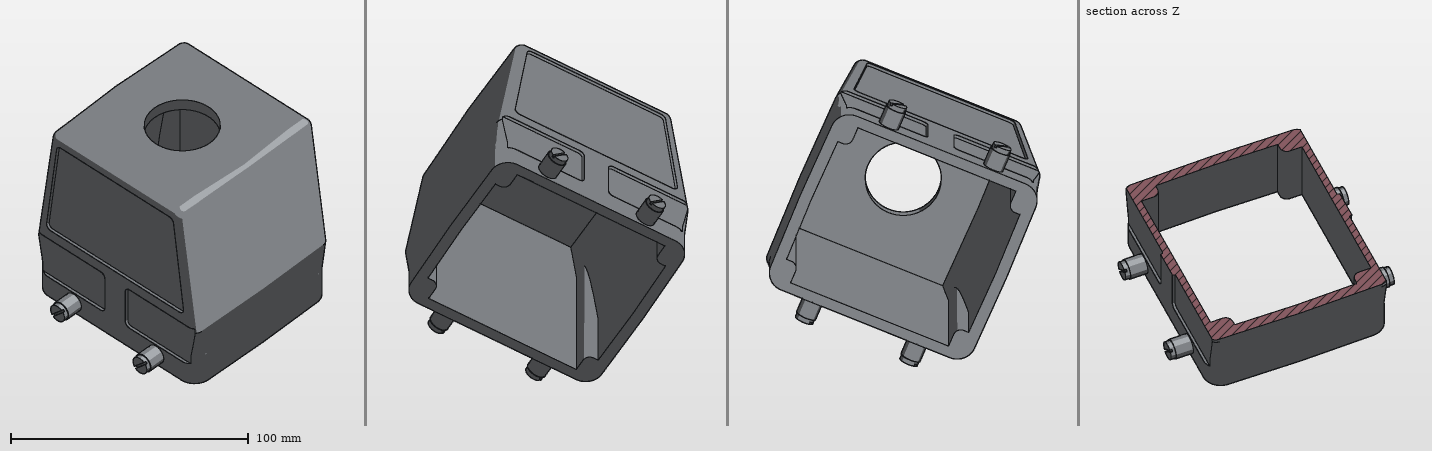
import cadquery as cq
import math

height = 93.5
half_depth = 41.25
half_width = 47.0
corner_setback = 0.65
shoulder_z = 30.0
blend_z = 15.0
side_lean = math.radians(7.9)
base_corner_radius = 8.0
edge_radius = 4.0

flat_half_length = 28.7
strip_fall = math.radians(1.0)
ridge_edge_radius = 2.6

side_wall = 5.0
end_wall = 4.5
roof = 5.5
cable_hole_diameter = 32.0
post_face_x = 36.0
post_depth = 8.8
post_corner_radius = 3.3

recess_depth = 1.2
recess_wall_depth = 1.1
recess_wall_run = 0.4
recess_corner_radius = 2.5
label_bottom_z = 37.8
label_top_z = 88.2
label_half_width_bottom = 39.9
label_half_width_top = 33.5
lower_recess_bottom_z = 10.8
lower_recess_top_z = 32.5
lower_recess_inner_x = 5.9
lower_recess_outer_x = half_width + edge_radius

pin_x = 23.8
pin_z = 5.8
pin_diameter = 8.8
pin_tip_diameter = 8.0
pin_tip_length = 2.2
pin_end_y = 51.25
slot_width = 1.0
slot_depth = 1.0
slot_angle = 45.0

small = 0.01


def width_at(z):
    """Half width of the hood at its side ridge."""
    return half_width - max(0.0, z - shoulder_z) * math.tan(side_lean)


def hood_points(z, inset_x=0.0, inset_y=0.0):
    """Six-sided outline with its side ridges above the X axis."""
    x_mid = width_at(z) - inset_x
    x_corner = x_mid - corner_setback
    y_end = half_depth - inset_y
    outline = [
        (x_mid, 0),
        (x_corner, y_end),
        (-x_corner, y_end),
        (-x_mid, 0),
        (-x_corner, -y_end),
        (x_corner, -y_end),
    ]
    return [cq.Vector(x, y, z) for x, y in outline]


def rounded_outline(z, radius):
    wire = cq.Wire.makePolygon(hood_points(z), close=True)
    corners = [vertex for vertex in wire.Vertices() if abs(vertex.Y) > half_depth / 2]
    return wire.fillet2D(radius, corners)


def flat_face(points):
    """Flat polygon face."""
    return cq.Face.makeFromWires(cq.Wire.makePolygon(points, close=True))


def solid_from_faces(faces):
    return cq.Workplane(obj=cq.Solid.makeSolid(cq.Shell.makeShell(faces)))


def flat_sided_solid(lower, upper):
    """Solid between two outlines with flat faces joining their matching sides."""
    faces = [flat_face(lower), flat_face(upper)]
    for i in range(len(lower)):
        faces.append(flat_face([lower[i - 1], lower[i], upper[i], upper[i - 1]]))
    return solid_from_faces(faces)


def ruled_solid(lower, upper):
    return cq.Workplane(obj=cq.Solid.makeLoft([lower, upper], True))


def turned_to_back(shape):
    return shape.rotate((0, 0, 0), (0, 0, 1), 180)


def falling_strip_cutter():
    """Wedge above the falling strip at the back of the top."""
    strip_length = half_depth - flat_half_length
    return (
        cq.Workplane("YZ", origin=(-half_width, 0, 0))
        .moveTo(flat_half_length, height)
        .line(strip_length, 0)
        .line(0, -strip_length * math.tan(strip_fall))
        .close()
        .extrude(2 * half_width)
    )


def outer_edges(upper):
    """Corner edges and top rim of the upper body, without the fold lines across its faces."""
    chosen = []
    for edge in upper.edges().vals():
        box = edge.BoundingBox()
        on_end = abs(edge.Center().y) > half_depth - small
        on_side_rim = box.ylen > small and box.zmin > shoulder_z + small
        if edge.Center().z > shoulder_z + small and (on_end or on_side_rim):
            chosen.append(edge)
    return chosen


def outer_body():
    """Solid hood with all its outer edges rounded evenly."""
    base = rounded_outline(0, base_corner_radius)
    blend = rounded_outline(blend_z, base_corner_radius)
    shoulder = rounded_outline(shoulder_z, edge_radius)
    lower = ruled_solid(base, blend).union(ruled_solid(blend, shoulder))

    upper = flat_sided_solid(hood_points(shoulder_z), hood_points(height))
    strip = falling_strip_cutter()
    upper = upper.cut(strip).cut(turned_to_back(strip))
    return lower.union(upper.newObject(outer_edges(upper)).fillet(edge_radius))


def point_on_edge_rounding(y, radius, angle):
    """Point on the rounding of the +X top edge, at an angle above the X direction."""
    corner_x = width_at(height) - corner_setback * abs(y) / half_depth
    center_x = corner_x - radius * math.tan((math.pi / 2 - side_lean) / 2)
    center_z = height - radius
    return cq.Vector(center_x + radius * math.cos(angle), y, center_z + radius * math.sin(angle))


def edge_arc(y, radius):
    """Rounding arc of the +X top edge, from the side face up to the top."""
    angles = (side_lean, (side_lean + math.pi / 2) / 2, math.pi / 2)
    return cq.Edge.makeThreePointArc(*[point_on_edge_rounding(y, radius, angle) for angle in angles])


def face_with_arc(arc, points):
    """Flat face bounded by an arc and by straight lines through the points, from its end to its start."""
    path = [arc.endPoint()] + points + [arc.startPoint()]
    lines = [cq.Edge.makeLine(path[i], path[i + 1]) for i in range(len(path) - 1)]
    return cq.Face.makeFromWires(cq.Wire.assembleEdges([arc] + lines))


def ridge_fill():
    """Material on the +X top edge that makes its rounding sharper toward mid depth (back half)."""
    outer_arc = edge_arc(flat_half_length, edge_radius)
    wide_arc = edge_arc(0, edge_radius)
    sharp_arc = edge_arc(0, ridge_edge_radius)
    setback = corner_setback * flat_half_length / half_depth
    to_middle = cq.Vector(setback, -flat_half_length, 0)
    outer_core = outer_arc.arcCenter()
    middle_core = outer_core + to_middle
    outer_side, outer_top = outer_arc.startPoint(), outer_arc.endPoint()
    wide_side, wide_top = wide_arc.startPoint(), wide_arc.endPoint()
    return solid_from_faces([
        face_with_arc(outer_arc, [outer_core]),
        face_with_arc(sharp_arc, [wide_top, middle_core, wide_side]),
        cq.Face.makeRuledSurface(outer_arc, sharp_arc),
        flat_face([outer_top, sharp_arc.endPoint(), wide_top]),
        flat_face([outer_side, sharp_arc.startPoint(), wide_side]),
        flat_face([outer_top, wide_top, middle_core, outer_core]),
        flat_face([outer_side, wide_side, middle_core, outer_core]),
    ])


def cavity():
    """Open-bottomed inner space, leaving a vertical post in each corner."""
    roof_z = height - roof
    levels = [hood_points(z, side_wall, end_wall) for z in (0, shoulder_z, roof_z)]
    space = flat_sided_solid(levels[0], levels[1]).union(flat_sided_solid(levels[1], levels[2]))
    post = (
        cq.Workplane("XY")
        .box(half_width, half_depth, height, centered=False)
        .edges("|Z and <X and <Y")
        .fillet(post_corner_radius)
        .translate((post_face_x, half_depth - end_wall - post_depth, 0))
    )
    for corner_post in (post, post.mirror("XZ")):
        space = space.cut(corner_post).cut(turned_to_back(corner_post))
    return space


def cable_hole():
    return cq.Workplane("XY").circle(cable_hole_diameter / 2).extrude(2 * height)


def front_recess(outline):
    """Cutter for a pocket with sloped walls in the front wall; outline gives (x, z) points."""
    return (
        cq.Workplane("XZ", origin=(0, -half_depth, 0))
        .polyline(outline)
        .close()
        .extrude(-recess_depth)
        .edges("|Y")
        .fillet(recess_corner_radius)
        .faces(">Y")
        .edges()
        .chamfer(recess_wall_depth, recess_wall_run)
    )


def front_recesses():
    """Large label field and the two recesses above the pins."""
    label = front_recess([
        (-label_half_width_bottom, label_bottom_z),
        (label_half_width_bottom, label_bottom_z),
        (label_half_width_top, label_top_z),
        (-label_half_width_top, label_top_z),
    ])
    right = front_recess([
        (lower_recess_inner_x, lower_recess_bottom_z),
        (lower_recess_outer_x, lower_recess_bottom_z),
        (lower_recess_outer_x, lower_recess_top_z),
        (lower_recess_inner_x, lower_recess_top_z),
    ])
    return [label, right, right.mirror("YZ")]


def front_pin():
    """Slotted pin with a thinner tip, reaching through the front wall, on the YZ plane."""
    tip_y = -pin_end_y
    length = pin_end_y - half_depth + end_wall
    pin = cq.Workplane("XZ", origin=(0, tip_y, 0)).circle(pin_tip_diameter / 2).extrude(-length)
    shank = (
        cq.Workplane("XZ", origin=(0, tip_y + pin_tip_length, 0))
        .circle(pin_diameter / 2)
        .extrude(pin_tip_length - length)
    )
    slot = (
        cq.Workplane("XZ", origin=(0, tip_y, 0))
        .transformed(rotate=(0, 0, slot_angle))
        .rect(2 * pin_diameter, slot_width)
        .extrude(-slot_depth)
    )
    return pin.union(shank).cut(slot).translate((0, 0, pin_z))


hood = outer_body()
fill = ridge_fill()
for quarter_fill in (fill, fill.mirror("XZ")):
    hood = hood.union(quarter_fill).union(turned_to_back(quarter_fill))
hood = hood.clean()
hood = hood.cut(cavity()).cut(cable_hole())
for recess in front_recesses():
    hood = hood.cut(recess).cut(turned_to_back(recess))
for x in (-pin_x, pin_x):
    pin = front_pin().translate((x, 0, 0))
    hood = hood.union(pin).union(turned_to_back(pin))

result = hood